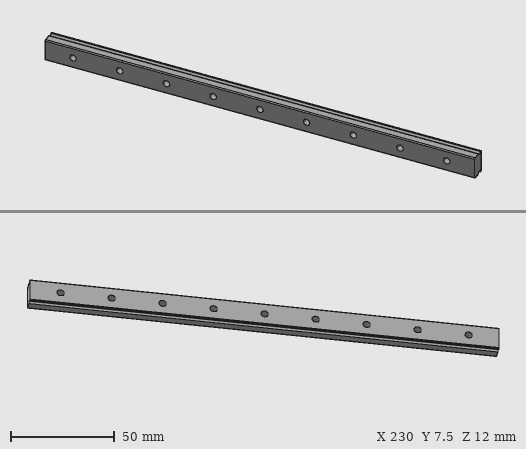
import cadquery as cq

length = 230.0
thickness = 7.5
height = 12.0
front_chamfer = 0.58
back_chamfer = 0.35

groove_depth = 1.0
groove_width = 2.0
groove_offset = 2.18

hole_count = 9
hole_diameter = 3.5
end_margin = 15.0
hole_pitch = (length - 2 * end_margin) / (hole_count - 1)


def rail_body():
    """Rectangular bar, chamfered along the long edges of its -Y and +Y faces."""
    bar = cq.Workplane("XY").box(length, thickness, height)
    bar = bar.faces("<Y").edges("|X").chamfer(front_chamfer)
    return bar.faces(">Y").edges("|X").chamfer(back_chamfer)


def groove(side):
    """Full-length round-bottomed groove; side is +1 for the top, -1 for the bottom."""
    centre = thickness / 2 - groove_offset
    mouth_z = side * height / 2
    floor_z = side * (height / 2 - groove_depth)
    return (
        cq.Workplane("YZ")
        .moveTo(centre - groove_width / 2, mouth_z)
        .threePointArc((centre, floor_z), (centre + groove_width / 2, mouth_z))
        .close()
        .extrude(length / 2, both=True)
    )


def mounting_holes():
    """Evenly spaced pins that cut the holes right through the thickness."""
    return (
        cq.Workplane("XZ")
        .rarray(hole_pitch, 2.3, hole_count, 1)
        .circle(hole_diameter / 2)
        .extrude(thickness, both=True)
    )


result = rail_body()
for side in (1, -1):
    result = result.cut(groove(side))
result = result.cut(mounting_holes())